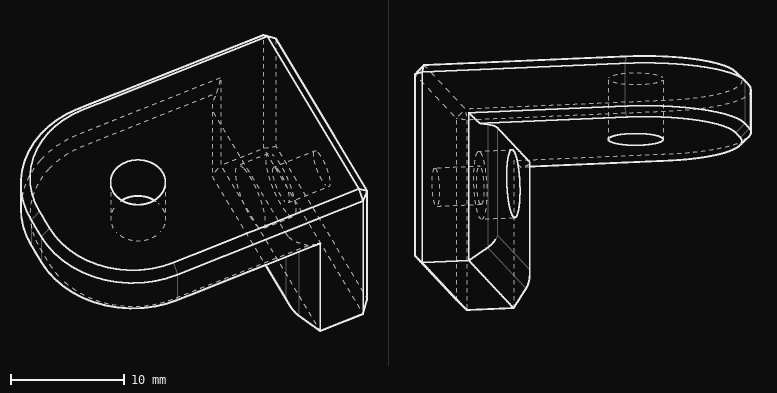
import cadquery as cq

width = 20.0
length = 28.0
height = 18.0

plate_thickness = 5.5
corner_radius = 9.0
edge_chamfer = 0.8
plate_hole_diameter = 4.85
plate_hole_from_back = length - width / 2

leg_depth = 7.0
bevel = 2.0
bevel_blend_radius = 2.0
screw_diameter = 3.4
counterbore_diameter = 6.0
counterbore_depth = 3.0
screw_height = height / 2

back = length / 2
leg_front = back - leg_depth


def make_plate():
    """Plate with a rounded front end and chamfered rims."""
    plate = cq.Workplane("XY").box(width, length, plate_thickness, centered=(True, True, False))
    plate = plate.edges("|Z and <Y").fillet(corner_radius)
    plate = plate.edges("(|Z and >Y) or >Z or <Z").chamfer(edge_chamfer)
    return plate.translate((0, 0, height - plate_thickness))


def make_leg():
    """Leg whose front face is bevelled at the sides and bottom, with blended bevels."""
    leg_height = height - edge_chamfer
    leg = (
        cq.Workplane("XY")
        .box(width, leg_depth, leg_height, centered=(True, False, False))
        .translate((0, leg_front, 0))
    )
    leg = leg.faces("<Y").edges("|Z or <Z").chamfer(bevel)
    leg = leg.faces("<Y").edges("|Z or <Z").fillet(bevel_blend_radius)
    leg = leg.faces(">Y").edges("|Z or <Z").chamfer(edge_chamfer)
    return leg


def make_plate_hole():
    """Vertical through hole in the plate."""
    return (
        cq.Workplane("XY")
        .center(0, back - plate_hole_from_back)
        .circle(plate_hole_diameter / 2)
        .extrude(height)
    )


def make_screw_hole():
    """Horizontal through hole in the leg, counterbored from the front."""
    front_face = cq.Workplane("XZ", origin=(0, leg_front, screw_height))
    hole = front_face.circle(screw_diameter / 2).extrude(-leg_depth)
    counterbore = front_face.circle(counterbore_diameter / 2).extrude(-counterbore_depth)
    return hole.union(counterbore)


result = make_plate().union(make_leg()).cut(make_plate_hole()).cut(make_screw_hole())